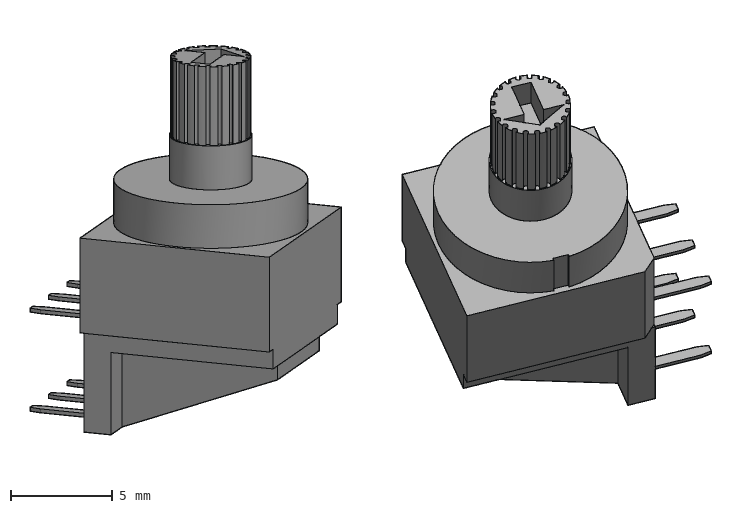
import cadquery as cq


total_height = 18.6
shaft_top = 14.56
dial_top = 12.31
housing_top = 10.08
housing_bottom = 5.23
bracket_plate_bottom = 4.22

housing_side = 10.0
corner_chamfer = 0.73
half_side = housing_side / 2

dial_diameter = 9.6
notch_width = 0.8
notch_depth = 0.15

shaft_diameter = 4.1
knob_diameter = 3.96
groove_count = 21
groove_radius = 0.13
groove_depth = 0.22

arrow_tip_y = 1.43
arrow_shoulder_y = 0.52
arrow_tail_y = -1.41
arrow_half_width = 1.56
arrow_stem_half_width = 0.5
arrow_depth = 1.5

bracket_width = 8.93
leg_thickness = 1.43
rib_width = 5.8
rib_end_inset = 0.37
rib_end_z = 3.22

pin_length = 3.5
pin_width = 0.6
pin_thickness = 0.2
pin_tip_length = 0.6
pin_tip_width = 0.39
pin_pitch_y = 2.55
lower_pin_z = 0.39
pin_row_spacing = 5.08
pins_per_row = 3


def cylinder(diameter, bottom, top):
    """Round section on the Z axis between two heights."""
    return cq.Workplane("XY").workplane(offset=bottom).circle(diameter / 2).extrude(top - bottom)


def make_housing():
    """Square block with one vertical corner chamfered."""
    height = housing_top - housing_bottom
    block = (
        cq.Workplane("XY")
        .workplane(offset=housing_bottom)
        .rect(housing_side, housing_side)
        .extrude(height)
    )
    return block.edges("|Z and <X and >Y").chamfer(corner_chamfer)


def make_dial():
    """Round dial with a small index notch in its rim at +Y."""
    dial_radius = dial_diameter / 2
    notch = (
        cq.Workplane("XY")
        .workplane(offset=housing_top)
        .center(0, dial_radius)
        .rect(notch_width, 2 * notch_depth)
        .extrude(dial_top - housing_top)
    )
    return cylinder(dial_diameter, housing_top, dial_top).cut(notch)


def make_knob():
    """Knurled knob with an arrow-shaped slot in its top face."""
    knob_height = total_height - shaft_top
    groove_center_radius = knob_diameter / 2 - groove_depth + groove_radius
    grooves = (
        cq.Workplane("XY")
        .workplane(offset=shaft_top)
        .polarArray(groove_center_radius, -90, 360, groove_count)
        .circle(groove_radius)
        .extrude(knob_height)
    )
    arrow = (
        cq.Workplane("XY")
        .workplane(offset=total_height - arrow_depth)
        .moveTo(0, arrow_tip_y)
        .lineTo(arrow_half_width, arrow_shoulder_y)
        .lineTo(arrow_stem_half_width, arrow_shoulder_y)
        .lineTo(arrow_stem_half_width, arrow_tail_y)
        .lineTo(-arrow_stem_half_width, arrow_tail_y)
        .lineTo(-arrow_stem_half_width, arrow_shoulder_y)
        .lineTo(-arrow_half_width, arrow_shoulder_y)
        .close()
        .extrude(arrow_depth)
    )
    return cylinder(knob_diameter, shaft_top, total_height).cut(grooves).cut(arrow)


def make_bracket():
    """L-shaped bracket under the housing, stiffened by a sloping central rib."""
    leg_inner_x = -half_side + leg_thickness
    rib_end_x = half_side - rib_end_inset
    angle = (
        cq.Workplane("XZ")
        .moveTo(-half_side, 0)
        .lineTo(leg_inner_x, 0)
        .lineTo(leg_inner_x, bracket_plate_bottom)
        .lineTo(half_side, bracket_plate_bottom)
        .lineTo(half_side, housing_bottom)
        .lineTo(-half_side, housing_bottom)
        .close()
        .extrude(bracket_width / 2, both=True)
    )
    rib = (
        cq.Workplane("XZ")
        .moveTo(leg_inner_x, 0)
        .lineTo(rib_end_x, rib_end_z)
        .lineTo(rib_end_x, bracket_plate_bottom)
        .lineTo(leg_inner_x, bracket_plate_bottom)
        .close()
        .extrude(rib_width / 2, both=True)
    )
    return angle.union(rib)


def make_pin(y, z):
    """Flat terminal pin with a tapered tip, pointing along -X."""
    tip_x = -half_side - pin_length
    taper_x = tip_x + pin_tip_length
    return (
        cq.Workplane("XY")
        .workplane(offset=z - pin_thickness / 2)
        .moveTo(-half_side, y - pin_width / 2)
        .lineTo(taper_x, y - pin_width / 2)
        .lineTo(tip_x, y - pin_tip_width / 2)
        .lineTo(tip_x, y + pin_tip_width / 2)
        .lineTo(taper_x, y + pin_width / 2)
        .lineTo(-half_side, y + pin_width / 2)
        .close()
        .extrude(pin_thickness)
    )


result = make_housing()
result = result.union(make_dial())
result = result.union(cylinder(shaft_diameter, dial_top, shaft_top))
result = result.union(make_knob())
result = result.union(make_bracket())
for row_z in (lower_pin_z, lower_pin_z + pin_row_spacing):
    for index in range(pins_per_row):
        pin_y = (index - (pins_per_row - 1) / 2) * pin_pitch_y
        result = result.union(make_pin(pin_y, row_z))